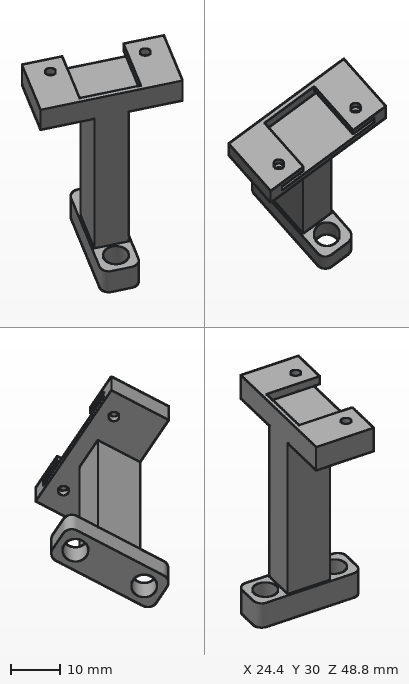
import cadquery as cq

total_height = 48.75
foot_length = 24.4
foot_width = 8.25
foot_height = 6.0
foot_corner_radius = 2.0
foot_hole_diameter = 5.2
foot_hole_spacing = 16.2

column_length = 10.0
column_width = 7.3

head_length = 13.55
head_width = 30.0
head_height = 5.75
head_bottom = total_height - head_height
head_back = column_length / 2
head_front = head_back - head_length

pocket_back_wall = 1.0
pocket_depth = 3.75
pocket_length = head_length - pocket_back_wall
lip_thickness = 1.95
slot_width = 24.0
window_width = 12.9

head_hole_diameter = 2.15
head_hole_spacing = 20.0
head_hole_x = -4.95


def block(x_start, length, width, z_start, height):
    """Box centred on Y, starting at the given X and Z."""
    return cq.Workplane("XY").box(length, width, height, centered=(False, True, False)).translate(
        (x_start, 0, z_start)
    )


def make_foot():
    foot = block(-foot_length / 2, foot_length, foot_width, 0, foot_height)
    foot = foot.edges("|Z").fillet(foot_corner_radius)
    hole_x = foot_hole_spacing / 2
    holes = (
        cq.Workplane("XY")
        .pushPoints([(-hole_x, 0), (hole_x, 0)])
        .circle(foot_hole_diameter / 2)
        .extrude(foot_height)
    )
    return foot.cut(holes)


def make_column():
    return block(-column_length / 2, column_length, column_width, foot_height, head_bottom - foot_height)


def make_head():
    head = block(head_front, head_length, head_width, head_bottom, head_height)
    pocket_floor = total_height - pocket_depth
    slot = block(head_front, pocket_length, slot_width, pocket_floor, pocket_depth - lip_thickness)
    window = block(head_front, pocket_length, window_width, pocket_floor, pocket_depth)
    hole_y = head_hole_spacing / 2
    holes = (
        cq.Workplane("XY", origin=(0, 0, head_bottom))
        .pushPoints([(head_hole_x, -hole_y), (head_hole_x, hole_y)])
        .circle(head_hole_diameter / 2)
        .extrude(head_height)
    )
    return head.cut(slot).cut(window).cut(holes)


result = make_foot().union(make_column()).union(make_head())